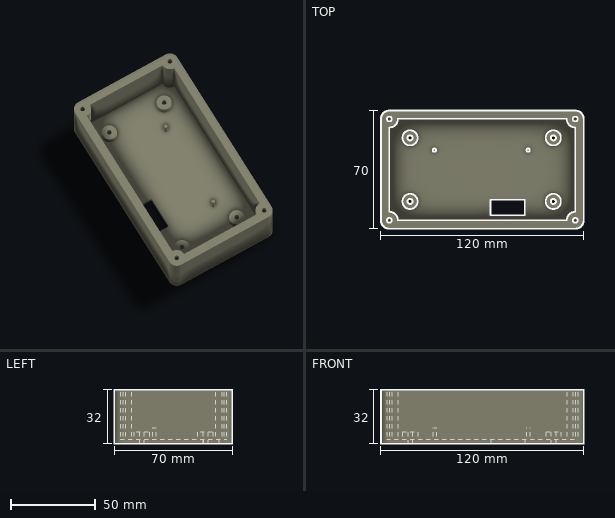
import cadquery as cq

length = 120.0
width = 70.0
height = 32.0
wall = 5.0
floor = 2.5
corner_radius = 5.0

post_radius = 5.0
lid_hole_diameter = 2.9

standoff_diameter = 9.0
standoff_height = 4.5
standoff_hole_diameter = 2.9
standoff_spacing_x = 84.7
standoff_spacing_y = 37.5
board_center_x = -0.4

pin_diameter = 2.0
pin_height = 7.0
pin_spacing = 55.5
pin_center_x = -0.6
pin_y = 11.5

window_length = 20.0
window_width = 9.0
window_center_x = 15.0
window_center_y = -22.3

cavity_length = length - 2 * wall
cavity_width = width - 2 * wall
cavity_depth = height - floor


def grid(spacing_x, spacing_y, center_x=0.0):
    """Four points at the corners of a rectangle centred on (center_x, 0)."""
    return [
        (center_x + side_x * spacing_x / 2, side_y * spacing_y / 2)
        for side_x in (-1, 1)
        for side_y in (-1, 1)
    ]


def cylinders(points, diameter, bottom, tall):
    """Upright cylinders standing at the given points."""
    return cq.Workplane(origin=(0, 0, bottom)).pushPoints(points).circle(diameter / 2).extrude(tall)


post_points = grid(cavity_length, cavity_width)
standoff_points = grid(standoff_spacing_x, standoff_spacing_y, board_center_x)
pin_points = [(pin_center_x + side * pin_spacing / 2, pin_y) for side in (-1, 1)]

outer = cq.Workplane().rect(length, width).extrude(height).edges("|Z").fillet(corner_radius)
cavity = cq.Workplane(origin=(0, 0, floor)).rect(cavity_length, cavity_width).extrude(cavity_depth)
cavity = cavity.cut(cylinders(post_points, 2 * post_radius, floor, cavity_depth))
body = outer.cut(cavity)

body = body.union(cylinders(standoff_points, standoff_diameter, floor / 2, floor / 2 + standoff_height))
body = body.union(cylinders(pin_points, pin_diameter, floor / 2, floor / 2 + pin_height))

body = body.cut(cylinders(post_points, lid_hole_diameter, floor, cavity_depth))
body = body.cut(cylinders(standoff_points, standoff_hole_diameter, 0, floor + standoff_height))
window = (
    cq.Workplane()
    .center(window_center_x, window_center_y)
    .rect(window_length, window_width)
    .extrude(floor)
)
result = body.cut(window)